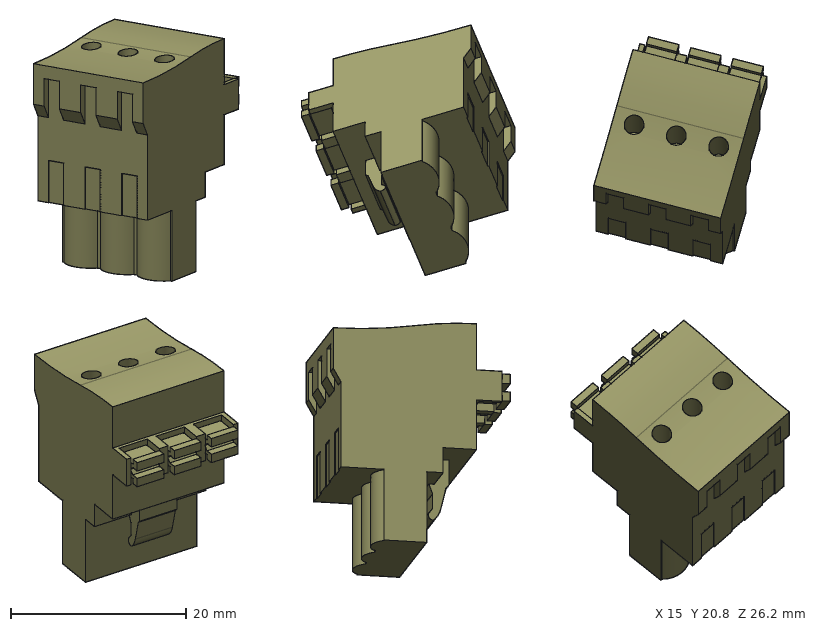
import cadquery as cq
import math


POLE_COUNT = 3
WIDTH = 15.0
PITCH = WIDTH / POLE_COUNT
POLE_X = [(i - (POLE_COUNT - 1) / 2) * PITCH for i in range(POLE_COUNT)]

HEIGHT = 26.25
FRONT_TOP_Z = 24.8
REAR_Y = 16.7
CREST_Y = 9.8
LOWER_FRONT_Y = 0.9
OVERHANG_Z = 20.0
OVERHANG_FOOT_Z = 18.45
REAR_STEP_Y = 12.8
REAR_STEP_Z = 11.34
BODY_BOTTOM_Z = 8.37

BOSS_Y = 19.65
BOSS_BOTTOM_Z = 17.21
BOSS_TOP_Z = 20.78

PLUG_FRONT_Y = 5.93
PLUG_REAR_Y = 10.9
RIB_WIDTH = 4.6
RIB_HEIGHT = 1.0

GROOVE_WIDTH = 2.07
SLOT_TOP_Z = 23.25
RECESS_TOP_Z = 13.35
RECESS_DEPTH = 0.13
HOLE_DIAMETER = 2.23
HOLE_Y = 8.15
HOLE_FLOOR_Z = 20.2

LATCH_WIDTH = PITCH
LATCH_REAR_Y = 14.55
LATCH_NECK_Y = 14.22
LATCH_NECK_Z = 8.05
LATCH_ROOT_FRONT_Y = 12.2
LATCH_SHANK_FRONT_Y = 12.62
LATCH_SHANK_TOP_Z = 7.22
LATCH_SHANK_BOTTOM_Z = 5.5
HOOK_BACK_START = (13.6, 5.5)
HOOK_BACK_MIDDLE = (13.25, 4.7)
HOOK_TIP = (12.75, 4.15)
HOOK_NOSE_MIDDLE = (12.3, 4.28)
HOOK_NOSE_END = (12.2, 4.99)

LEVER_WIDTH = 3.6
POCKET_WIDTH = 3.8
POCKET_FRONT_Y = 17.1
LEVER_REAR_Y = 20.78
HEAD_FRONT_Y = 19.86
LEVER_MID_Z = 19.08
HEAD_HEIGHT = 3.2
STEM_HEIGHT = 1.95
LEVER_SLOT_HEIGHT = 0.97


def extrude_along_x(sketch, width, center_x=0.0):
    """Extrude a closed Y-Z sketch by width, centred on center_x."""
    return sketch.extrude(width / 2, both=True).translate((center_x, 0, 0))


def block(width, y_range, z_range, center_x=0.0):
    """Box centred on center_x that spans the given Y and Z ranges."""
    (y0, y1), (z0, z1) = y_range, z_range
    return cq.Workplane("XY").box(width, y1 - y0, z1 - z0, centered=(True, False, False)).translate(
        (center_x, y0, z0)
    )


def make_body():
    """Main block with its S-shaped top: two tangent arcs, level at the front and rear edges."""
    top_slope_angle = 2 * math.atan((HEIGHT - FRONT_TOP_Z) / REAR_Y)
    concave_radius = CREST_Y / math.sin(top_slope_angle)
    convex_radius = (REAR_Y - CREST_Y) / math.sin(top_slope_angle)
    half_sine = math.sin(top_slope_angle / 2)
    half_drop = 1 - math.cos(top_slope_angle / 2)
    crest_z = FRONT_TOP_Z + concave_radius * (1 - math.cos(top_slope_angle))
    concave_middle = (concave_radius * half_sine, FRONT_TOP_Z + concave_radius * half_drop)
    convex_middle = (REAR_Y - convex_radius * half_sine, HEIGHT - convex_radius * half_drop)
    sketch = (
        cq.Workplane("YZ")
        .moveTo(0, OVERHANG_Z)
        .lineTo(0, FRONT_TOP_Z)
        .threePointArc(concave_middle, (CREST_Y, crest_z))
        .threePointArc(convex_middle, (REAR_Y, HEIGHT))
        .lineTo(REAR_Y, REAR_STEP_Z)
        .lineTo(REAR_STEP_Y, REAR_STEP_Z)
        .lineTo(REAR_STEP_Y, BODY_BOTTOM_Z)
        .lineTo(LOWER_FRONT_Y, BODY_BOTTOM_Z)
        .lineTo(LOWER_FRONT_Y, OVERHANG_FOOT_Z)
        .close()
    )
    return extrude_along_x(sketch, WIDTH)


def make_plug():
    """Plug with one rounded rib per pole on its front face."""
    plug = block(WIDTH, (PLUG_FRONT_Y, PLUG_REAR_Y), (0, BODY_BOTTOM_Z))
    for x in POLE_X:
        rib = (
            cq.Workplane("XY")
            .moveTo(x - RIB_WIDTH / 2, PLUG_FRONT_Y)
            .threePointArc((x, PLUG_FRONT_Y - RIB_HEIGHT), (x + RIB_WIDTH / 2, PLUG_FRONT_Y))
            .close()
            .extrude(BODY_BOTTOM_Z)
        )
        plug = plug.union(rib)
    return plug


def make_latch():
    """Hooked latch hanging in the rear step, behind the middle pole."""
    sketch = (
        cq.Workplane("YZ")
        .moveTo(REAR_STEP_Y, REAR_STEP_Z)
        .lineTo(LATCH_REAR_Y, REAR_STEP_Z)
        .lineTo(LATCH_REAR_Y, BODY_BOTTOM_Z)
        .lineTo(LATCH_NECK_Y, LATCH_NECK_Z)
        .lineTo(*HOOK_BACK_START)
        .threePointArc(HOOK_BACK_MIDDLE, HOOK_TIP)
        .threePointArc(HOOK_NOSE_MIDDLE, HOOK_NOSE_END)
        .lineTo(LATCH_SHANK_FRONT_Y, LATCH_SHANK_BOTTOM_Z)
        .lineTo(LATCH_SHANK_FRONT_Y, LATCH_SHANK_TOP_Z)
        .lineTo(LATCH_ROOT_FRONT_Y, BODY_BOTTOM_Z)
        .lineTo(REAR_STEP_Y, BODY_BOTTOM_Z)
        .close()
    )
    return extrude_along_x(sketch, LATCH_WIDTH)


def make_housing():
    """Housing: body, plug, latch and rear boss, less the cuts of each pole."""
    boss = block(WIDTH, (REAR_Y, BOSS_Y), (BOSS_BOTTOM_Z, BOSS_TOP_Z))
    housing = make_body().union(make_plug()).union(make_latch()).union(boss)
    for x in POLE_X:
        slot = block(GROOVE_WIDTH, (0, LOWER_FRONT_Y), (OVERHANG_FOOT_Z, SLOT_TOP_Z), x)
        recess = block(
            GROOVE_WIDTH,
            (LOWER_FRONT_Y, LOWER_FRONT_Y + RECESS_DEPTH),
            (BODY_BOTTOM_Z, RECESS_TOP_Z),
            x,
        )
        pocket = block(POCKET_WIDTH, (POCKET_FRONT_Y, BOSS_Y), (BOSS_BOTTOM_Z, BOSS_TOP_Z), x)
        hole = (
            cq.Workplane("XY", origin=(x, HOLE_Y, HOLE_FLOOR_Z))
            .circle(HOLE_DIAMETER / 2)
            .extrude(HEIGHT - HOLE_FLOOR_Z)
        )
        housing = housing.cut(slot).cut(recess).cut(pocket).cut(hole)
    return housing


def make_lever(x):
    """T-shaped lever with a V-ended slot across its head, resting on its pocket's front wall."""
    half_stem = STEM_HEIGHT / 2
    half_head = HEAD_HEIGHT / 2
    stem = block(
        LEVER_WIDTH,
        (POCKET_FRONT_Y, HEAD_FRONT_Y),
        (LEVER_MID_Z - half_stem, LEVER_MID_Z + half_stem),
        x,
    )
    head = block(
        LEVER_WIDTH,
        (HEAD_FRONT_Y, LEVER_REAR_Y),
        (LEVER_MID_Z - half_head, LEVER_MID_Z + half_head),
        x,
    )
    half_slot = LEVER_SLOT_HEIGHT / 2
    slot_sketch = (
        cq.Workplane("YZ")
        .moveTo(LEVER_REAR_Y, LEVER_MID_Z + half_slot)
        .lineTo(HEAD_FRONT_Y, LEVER_MID_Z + half_slot)
        .lineTo(HEAD_FRONT_Y - half_slot, LEVER_MID_Z)
        .lineTo(HEAD_FRONT_Y, LEVER_MID_Z - half_slot)
        .lineTo(LEVER_REAR_Y, LEVER_MID_Z - half_slot)
        .close()
    )
    return stem.union(head).cut(extrude_along_x(slot_sketch, LEVER_WIDTH, x))


housing = make_housing()
levers = [make_lever(x).val() for x in POLE_X]
result = cq.Compound.makeCompound([housing.val(), *levers])